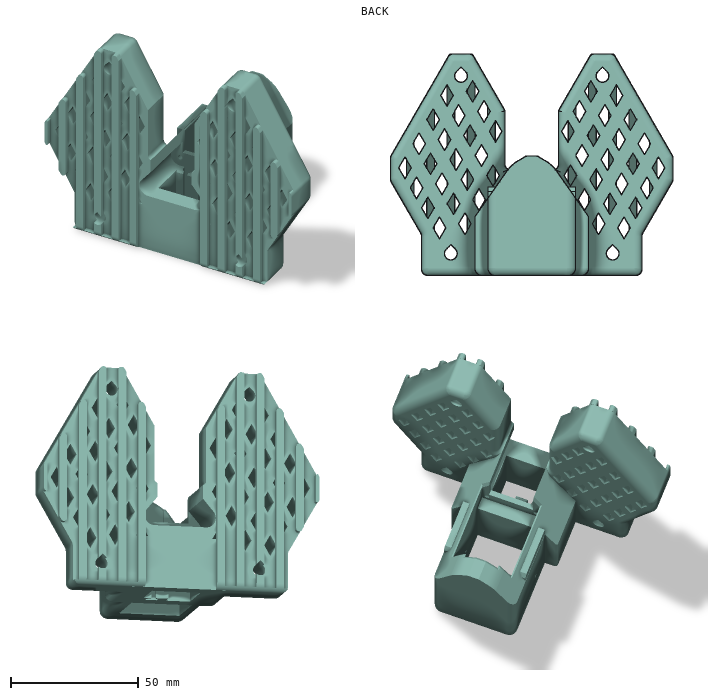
import cadquery as cq
import math

HEIGHT = 87.0
STEEP = math.tan(math.radians(60))

TIP_X = 55.5
TIP_TOP_Z = 46.6
TIP_BOTTOM_Z = 37.3
WING_BOTTOM_X = 43.3
WING_INNER_X = 10.4
CREST_X = 27.7
CREST_HALF = TIP_X - CREST_X - (HEIGHT - TIP_TOP_Z) / STEEP
WING_DEPTH = 15.0
WING_BACK_RADIUS = 3.0
WING_CORNER_RADIUS = 2.5
NOTCH_RADIUS = 1.8
NOTCH_END_Z = 43.5

RIB_DEPTH = 2.4
RIB_WIDTH = 3.1
RIB_FIRST_X = 15.9
RIB_LAST_X = 55.6
RIB_COUNT = 6
RIB_PITCH = (RIB_LAST_X - RIB_FIRST_X) / (RIB_COUNT - 1)
RIB_END_RADIUS = 1.2
TIP_RIB_END_RADIUS = 0.5
TREAD_INNER_X = RIB_FIRST_X - RIB_WIDTH / 2
LIP_HEIGHT = 1.4
FLOOR_RADIUS = 3.0

DIAMOND_HALF_WIDTH = 2.4
DIAMOND_HALF_HEIGHT = 4.2
LATTICE_START = (49.7, 42.3)
ROW_STEP = (1.0, -17.3)
COLUMN_ROWS = [(0, 1), (0, 2), (0, 3), (0, 4), (1, 4), (1, 5), (2, 5), (3, 5)]
LATTICE_SPAN = (-38.5, 66.2)
COLUMN_STEP = tuple(span / (len(COLUMN_ROWS) - 1) for span in LATTICE_SPAN)
HALF_DIAMOND = (15.3, 20.3)
TEARDROP_RADIUS = 2.4
TEARDROPS = [(CREST_X, 78.3), (31.7, 8.7)]

SHOULDER_HALF = 22.3
SHOULDER_BACK_Y = 35.5
SHOULDER_EDGE_RADIUS = 1.0
BOX_HALF = 17.2
BOX_BACK_Y = 69.5
BOX_CORNER_RADIUS = 3.3
ROOF_ANGLE = 55.0
ROOF_EAVE_Z = 23.1
ROOF_ARC_END = (5.2, 45.1)
ROOF_ARC_RADIUS = 12.9
ROOF_ARC_X = 9.4
RIDGE_HALF = 2.2
RIDGE_Z = 46.9

CAVITY_HALF = 12.1
CAVITY_FRONT_Y = 27.7
CAVITY_BACK_Y = 59.3
CAVITY_FLOOR_Z = 26.1
CAVITY_CHAMFER = 1.0
BACK_RECESS_HALF = 6.9
BACK_RECESS_Y = 60.7
FLOOR_OPENING_FRONT_Y = 32.7
FLOOR_OPENING_BACK_Y = 54.7

SLOT_HALF = 9.2
DIVIDER_FRONT_Y = 25.6
DIVIDER_TOP_Z = 31.2
CHANNEL_CORNER_X = 18.7
CHANNEL_FLOOR_Z = 24.8
CHANNEL_SHOULDER_Z = 36.2
CHANNEL_RADIUS = 3.9
DROP_HALF = 9.8
FRONT_BAR_DEPTH = 7.1
DIVIDER_HOLE_X = 10.2
DIVIDER_HOLE_Z = 28.6
DIVIDER_HOLE_RADIUS = 1.0

CLIP_END_X = 0.1
CLIP_DEPTH = 4.0
CLIP_CHAMFER = 0.7
CLIP_END_CHAMFER = 0.5
CLIP_X = -5.8
CLIP_HOLE_Y = 24.8
CLIP_HOLE_RADIUS = 2.4
CLIP_GAP = 1.9

RAIL_INNER_X = 14.4
RAIL_OUTER_X = 17.1
RAIL_BASE_Z = 28.8
RAIL_TOP_Z = 34.8
RAIL_BACK_Y = 57.0
RAIL_END_LENGTH = 1.3
RAIL_END_DROP = 1.8
CROSS_HOLE_Y = 45.7
CROSS_HOLE_Z = 11.8
CROSS_HOLE_RADIUS = 0.8


def block(x0, x1, y0, y1, z0, z1):
    return cq.Workplane("XY").box(x1 - x0, y1 - y0, z1 - z0, centered=False).translate((x0, y0, z0))


def along_y(y0):
    """Sketch plane at y0 with x and z as its axes; negative extrusions run towards +Y."""
    return cq.Workplane("XZ", origin=(0, y0, 0))


def mirrored(solid):
    return solid.union(solid.mirror("YZ"))


def roof_z(x):
    return ROOF_EAVE_Z + (SHOULDER_HALF - x) * math.tan(math.radians(ROOF_ANGLE))


def wing_prism(front_y, crest_half):
    """Sharp-cornered wing; a crest_half of zero carries its sides up to a single peak."""
    inner_top_z = HEIGHT - (CREST_X - CREST_HALF - WING_INNER_X) * STEEP
    crest_z = HEIGHT + (CREST_HALF - crest_half) * STEEP
    waist_z = TIP_BOTTOM_Z - (TIP_X - WING_BOTTOM_X) * STEEP
    outline = (
        along_y(front_y)
        .moveTo(SLOT_HALF, 0)
        .lineTo(WING_BOTTOM_X, 0)
        .lineTo(WING_BOTTOM_X, waist_z)
        .lineTo(TIP_X, TIP_BOTTOM_Z)
        .lineTo(TIP_X, TIP_TOP_Z)
        .lineTo(CREST_X + crest_half, crest_z)
    )
    if crest_half > 0:
        outline = outline.lineTo(CREST_X - crest_half, crest_z)
    return (
        outline.lineTo(WING_INNER_X, inner_top_z)
        .lineTo(WING_INNER_X, NOTCH_END_Z)
        .radiusArc((SLOT_HALF, roof_z(SLOT_HALF)), NOTCH_RADIUS)
        .close()
        .extrude(front_y - WING_DEPTH)
    )


def round_outer_corners(prism):
    outer = cq.selectors.BoxSelector(
        (WING_INNER_X + 1.1, -WING_DEPTH, -1.1), (TIP_X + 1.1, WING_DEPTH, HEIGHT + 1.1)
    )
    return prism.edges("|Y").edges(outer).fillet(WING_CORNER_RADIUS)


def tread():
    """Ribs with rounded ends, joined along the floor by a low lip."""
    peaked = wing_prism(-RIB_DEPTH, 0)
    peak_z = HEIGHT + CREST_HALF * STEEP
    ribs = block(TREAD_INNER_X, TIP_X, -RIB_DEPTH, 0, 0, LIP_HEIGHT)
    for index in range(RIB_COUNT):
        x = RIB_FIRST_X + index * RIB_PITCH
        strip = block(x - RIB_WIDTH / 2, x + RIB_WIDTH / 2, -RIB_DEPTH, 0, 0, peak_z)
        rib = peaked.intersect(strip)
        at_tip = index == RIB_COUNT - 1
        radius = TIP_RIB_END_RADIUS if at_tip else RIB_END_RADIUS
        rib = rib.edges("|Y and >Z").fillet(radius)
        if x - RIB_WIDTH / 2 > WING_BOTTOM_X:
            rib = rib.edges("|Y and <Z").fillet(radius)
        ribs = ribs.union(rib)
    return ribs.intersect(round_outer_corners(peaked))


def wing():
    plate = round_outer_corners(wing_prism(0, CREST_HALF))
    plate = plate.faces(">Y").edges().fillet(WING_BACK_RADIUS)
    envelope = block(0, TIP_X, -RIB_DEPTH, WING_DEPTH, 0, HEIGHT)
    envelope = envelope.edges("<Y and <Z").fillet(FLOOR_RADIUS)
    return plate.union(tread()).intersect(envelope)


def diamond_points():
    points = []
    for column, (first, last) in enumerate(COLUMN_ROWS):
        for row in range(first, last):
            x = LATTICE_START[0] + column * COLUMN_STEP[0] + row * ROW_STEP[0]
            z = LATTICE_START[1] + column * COLUMN_STEP[1] + row * ROW_STEP[1]
            points.append((x, z))
    return points


def diamond(x, z, lower_height):
    corners = [
        (x - DIAMOND_HALF_WIDTH, z),
        (x, z + DIAMOND_HALF_HEIGHT),
        (x + DIAMOND_HALF_WIDTH, z),
    ]
    if lower_height:
        corners.append((x, z - lower_height))
    return along_y(0).polyline(corners).close().extrude(-WING_DEPTH)


def teardrop(x, z):
    flank = TEARDROP_RADIUS / math.sqrt(2)
    depth = RIB_DEPTH + WING_DEPTH
    return (
        along_y(-RIB_DEPTH)
        .moveTo(x - flank, z + flank)
        .lineTo(x, z + 2 * flank)
        .lineTo(x + flank, z + flank)
        .threePointArc((x, z - TEARDROP_RADIUS), (x - flank, z + flank))
        .close()
        .extrude(-depth)
    )


def wing_holes():
    holes = diamond(*HALF_DIAMOND, 0)
    for x, z in diamond_points():
        holes = holes.union(diamond(x, z, DIAMOND_HALF_HEIGHT))
    for x, z in TEARDROPS:
        holes = holes.union(teardrop(x, z))
    return mirrored(holes)


def roof_prism():
    arc_start = (ROOF_ARC_X, roof_z(ROOF_ARC_X))
    return (
        along_y(0)
        .moveTo(-SHOULDER_HALF, 0)
        .lineTo(-SHOULDER_HALF, ROOF_EAVE_Z)
        .lineTo(-arc_start[0], arc_start[1])
        .radiusArc((-ROOF_ARC_END[0], ROOF_ARC_END[1]), ROOF_ARC_RADIUS)
        .lineTo(-RIDGE_HALF, RIDGE_Z)
        .lineTo(RIDGE_HALF, RIDGE_Z)
        .lineTo(*ROOF_ARC_END)
        .radiusArc(arc_start, ROOF_ARC_RADIUS)
        .lineTo(SHOULDER_HALF, ROOF_EAVE_Z)
        .lineTo(SHOULDER_HALF, 0)
        .close()
        .extrude(-BOX_BACK_Y)
    )


def housing_shell():
    shoulder = block(-SHOULDER_HALF, SHOULDER_HALF, 0, SHOULDER_BACK_Y, 0, HEIGHT)
    shoulder = shoulder.edges("|Z and >Y").fillet(SHOULDER_EDGE_RADIUS)
    shoulder = shoulder.edges("|Y and <Z").fillet(FLOOR_RADIUS)
    box = block(-BOX_HALF, BOX_HALF, 0, BOX_BACK_Y, 0, HEIGHT)
    box = box.edges("|Z and >Y").fillet(BOX_CORNER_RADIUS)
    box = box.faces("<Z").edges("not <Y").fillet(FLOOR_RADIUS)
    return shoulder.union(box).intersect(roof_prism())


def cut_cavity(body):
    cavity = block(-CAVITY_HALF, CAVITY_HALF, CAVITY_FRONT_Y, CAVITY_BACK_Y, CAVITY_FLOOR_Z, HEIGHT)
    recess = block(
        -BACK_RECESS_HALF, BACK_RECESS_HALF, CAVITY_BACK_Y, BACK_RECESS_Y, CAVITY_FLOOR_Z, HEIGHT
    )
    body = body.cut(cavity.union(recess))
    margin = 0.1
    rim = cq.selectors.BoxSelector(
        (-CAVITY_HALF - margin, CAVITY_FRONT_Y - margin, DIVIDER_TOP_Z),
        (CAVITY_HALF + margin, BACK_RECESS_Y + margin, HEIGHT),
        boundingbox=True,
    )
    body = body.edges(rim).edges("not |Z").chamfer(CAVITY_CHAMFER)
    opening = block(-CAVITY_HALF, CAVITY_HALF, FLOOR_OPENING_FRONT_Y, FLOOR_OPENING_BACK_Y, 0, HEIGHT)
    return body.cut(opening)


def roof_rail():
    return (
        cq.Workplane("YZ", origin=(RAIL_INNER_X, 0, 0))
        .moveTo(SHOULDER_BACK_Y, RAIL_BASE_Z)
        .lineTo(SHOULDER_BACK_Y, RAIL_TOP_Z)
        .lineTo(RAIL_BACK_Y - RAIL_END_LENGTH, RAIL_TOP_Z)
        .lineTo(RAIL_BACK_Y, RAIL_TOP_Z - RAIL_END_DROP)
        .lineTo(RAIL_BACK_Y, RAIL_BASE_Z)
        .close()
        .extrude(RAIL_OUTER_X - RAIL_INNER_X)
    )


def channel():
    profile = [
        (-CHANNEL_CORNER_X, CHANNEL_FLOOR_Z),
        (-SLOT_HALF, CHANNEL_SHOULDER_Z),
        (SLOT_HALF, CHANNEL_SHOULDER_Z),
        (CHANNEL_CORNER_X, CHANNEL_FLOOR_Z),
    ]
    tunnel = along_y(0).polyline(profile).close().extrude(-DIVIDER_FRONT_Y)
    tunnel = tunnel.edges("|Y and <Z").fillet(CHANNEL_RADIUS)
    slot = block(-SLOT_HALF, SLOT_HALF, 0, CAVITY_FRONT_Y, DIVIDER_TOP_Z, HEIGHT)
    drop = block(-DROP_HALF, DROP_HALF, FRONT_BAR_DEPTH, DIVIDER_FRONT_Y, 0, CHANNEL_FLOOR_Z)
    holes = (
        along_y(DIVIDER_FRONT_Y)
        .pushPoints([(-DIVIDER_HOLE_X, DIVIDER_HOLE_Z), (DIVIDER_HOLE_X, DIVIDER_HOLE_Z)])
        .circle(DIVIDER_HOLE_RADIUS)
        .extrude(-(CAVITY_FRONT_Y - DIVIDER_FRONT_Y))
    )
    return tunnel.union(slot).union(drop).union(holes)


def cable_clip():
    front_y = DIVIDER_FRONT_Y - CLIP_DEPTH
    clip = block(-DROP_HALF, CLIP_END_X, front_y, DIVIDER_FRONT_Y, 0, CHANNEL_FLOOR_Z)
    clip = clip.edges("<Y and >Z").chamfer(CLIP_CHAMFER)
    clip = clip.edges(">X and >Z").chamfer(CLIP_END_CHAMFER)
    bore = (
        cq.Workplane("XY")
        .center(CLIP_X, CLIP_HOLE_Y)
        .circle(CLIP_HOLE_RADIUS)
        .extrude(CHANNEL_FLOOR_Z)
    )
    gap = block(
        CLIP_X - CLIP_GAP / 2, CLIP_X + CLIP_GAP / 2, front_y, CLIP_HOLE_Y, 0, CHANNEL_FLOOR_Z
    )
    return clip.cut(bore).cut(gap)


def cross_hole():
    return (
        cq.Workplane("YZ", origin=(-BOX_HALF, 0, 0))
        .center(CROSS_HOLE_Y, CROSS_HOLE_Z)
        .circle(CROSS_HOLE_RADIUS)
        .extrude(2 * BOX_HALF)
    )


housing = cut_cavity(housing_shell()).union(mirrored(roof_rail()))
result = housing.union(mirrored(wing()))
result = result.cut(wing_holes()).cut(channel()).cut(cross_hole())
result = result.union(cable_clip())